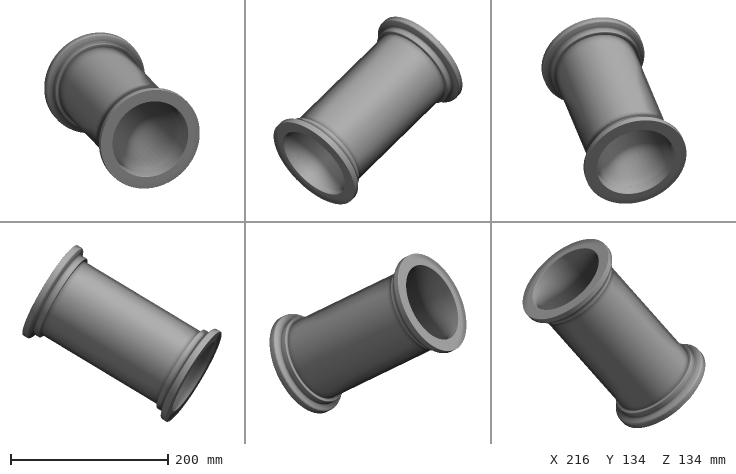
import cadquery as cq
import math

length = 216.0
bore_diameter = 102.0
tube_diameter = 108.0
hub_diameter = 117.0
flange_diameter = 134.0

ferrule_length = 19.9
socket_start = 14.0
back_corner = 8.2
cone_angle = 20.0

face_round = 0.5
rim_round = 2.5
root_round = 1.0
hub_round = 0.9

bore_radius = bore_diameter / 2
tube_radius = tube_diameter / 2
hub_radius = hub_diameter / 2
flange_radius = flange_diameter / 2
cone_end = back_corner + (flange_radius - hub_radius) * math.tan(math.radians(cone_angle))


def ring_edges(body, x, radius):
    """Select the circular edge of the given radius at position x."""
    return body.edges("%CIRCLE").filter(
        lambda edge: math.isclose(edge.radius(), radius, abs_tol=0.0002)
        and math.isclose(edge.Center().x, x, abs_tol=0.0002)
    )


def make_ferrule():
    """Flanged ferrule at the -X end, with a socket for the tube."""
    profile = [
        (0, bore_radius),
        (0, flange_radius),
        (back_corner, flange_radius),
        (cone_end, hub_radius),
        (ferrule_length, hub_radius),
        (ferrule_length, tube_radius),
        (socket_start, tube_radius),
        (socket_start, bore_radius),
    ]
    body = cq.Workplane("XY").polyline(profile).close().revolve(360, (0, 0, 0), (1, 0, 0))
    rounds = [
        (0, bore_radius, face_round),
        (0, flange_radius, face_round),
        (back_corner, flange_radius, rim_round),
        (cone_end, hub_radius, root_round),
        (ferrule_length, hub_radius, hub_round),
    ]
    for x, radius, round_radius in rounds:
        body = ring_edges(body, x, radius).fillet(round_radius)
    return body.translate((-length / 2, 0, 0))


def make_tube():
    """Plain tube that seats against the socket floor of both ferrules."""
    tube_length = length - 2 * socket_start
    return (
        cq.Workplane("YZ", origin=(-tube_length / 2, 0, 0))
        .circle(tube_radius)
        .circle(bore_radius)
        .extrude(tube_length)
    )


tube = make_tube()

ferrules = []
for turn in (0, 180):
    ferrule = make_ferrule().rotate((0, 0, 0), (0, 0, 1), turn)
    ferrules.append(ferrule.val())

result = cq.Compound.makeCompound([tube.val(), *ferrules])